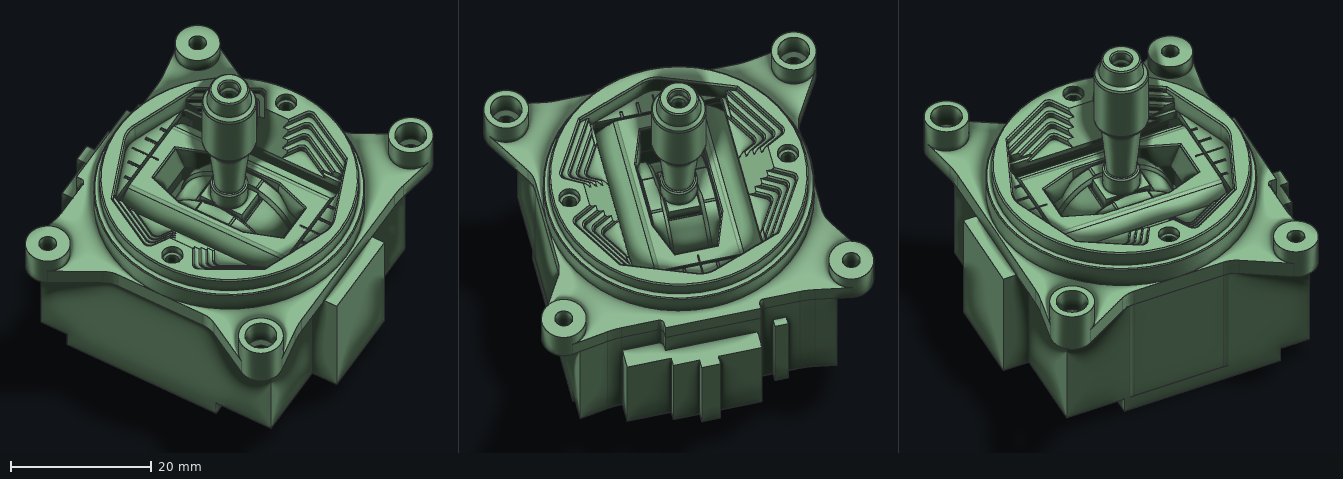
import cadquery as cq
import math

QUADRANTS = ((1, 1), (-1, 1), (-1, -1), (1, -1))

FOOT_TOP = 2.4
CONNECTOR_TOP = 16.9
HOUSING_TOP = 20.4
PLATE_TOP = 23.0
BEZEL_SEAT = 24.0
BEZEL_FLOOR = 25.3
RING_TOP = 26.2
BEZEL_TOP = 28.5
STICK_TOP = 49.2
AXIS_Z = 15.2

BOSS_X = 17.6
BOSS_Y = 21.05
BOSS_D = 6.4
BOSS_HOLE_D = 2.5
LOW_BOSS_TOP = 25.3
HIGH_BOSS_TOP = 26.8
HIGH_BOSS_BORE_D = 4.5
RING_D = 38.6
RING_CHAMFER = 0.15
PLATE_HALF_X = 19.63
PLATE_HALF_Y = RING_D / 2
END_FLARE = 30
SIDE_FLARE = 10
END_BLEND_R = 4.3
SIDE_BLEND_R = 12.2
BULGE_X = -21.1
BULGE_HALF_Y = 7.0
BULGE_FILLET = 0.7

HOUSING_BACK = 19.35
HOUSING_FRONT = -18.3
HOUSING_RIGHT = 17.65
FOOT_LEFT = -16.0
FOOT_RIGHT = 8.6
SIDE_BLOCK_X = 21.7
SIDE_BLOCK_HALF_Y = 6.7
CONNECTOR_STEPS = [
    (-22.55, 6.5, 12.95),
    (-23.8, -6.5, 6.5),
    (-25.1, -0.1, 2.65),
    (-20.8, -11.05, -9.1),
]
CAVITY_X = 26.6
CAVITY_Y = 25.0

BEZEL_D = 36.9
BEZEL_CHAMFER = 0.2
POCKET_CUT_TOP = BEZEL_TOP + 1
WINDOW_X = 26.7
WINDOW_Y = 19.0
WINDOW_FILLET = 0.6
SIDE_POCKET_HALF_Y = 10.0
SIDE_POCKET_START_X = 9.0
POCKET_TIP_X = 16.95
POCKET_TIP_FILLET = 4.0
POCKET_SIDE_LEAN = 0.39
POCKET_HALF_Y = 17.0
STEP_COUNT = 4
RAMP_FOOT = 24.75
STEP_DROP = (BEZEL_TOP - RAMP_FOOT) / STEP_COUNT
STEP_PITCH = 0.95
STEP_FILLET = 1.0
STEP_ARM_LENGTH = 12.0
POCKET_CHAMFER = 0.25
FIRST_STEP_CORNER = (3.85, 16.45)
STEP_ARM_ANGLE = 30
RAMP_TOP_Y = 13.5
RAMP_HALF_X = 5.0
SCREW_Y = 16.0
SCREW_HEAD_D = 3.0
SCREW_HEAD_DEPTH = 1.3
SCREW_HOLE_D = 2.0
MARK_DEPTH = 0.2
MARK_START_X = 13.0
MARK_WIDTH = 0.35
CENTRE_MARK_WIDTH = 0.15
CENTRE_MARK_END = 16.0
MARK_ENDS = {2.45: 15.25, 5.05: 14.3}

OUTER_HALF_X = 12.95
OUTER_TOP = BEZEL_FLOOR
OUTER_FLAT_HALF_Y = 5.9
OUTER_EDGE_HALF_Y = 6.5
OUTER_EDGE_DROP = 0.15
OUTER_CAVITY_X = 22.0
OUTER_CAVITY_HALF_Y = 5.5
OUTER_CAVITY_TOP = 21.5
OPENING_HALF_X = 10.9
OPENING_END_HALF_Y = 3.2
OPENING_HALF_Y = 5.2
OPENING_FLAT_HALF_X = 5.3
OPENING_BOTTOM_HALF_X = 9.3
OPENING_DRAFT = 4
OPENING_CHAMFER = 0.2
OUTER_MARK_START = 11.7

INNER_HALF_Y = 4.75
INNER_R = 9.8
CHANNEL_R = 9.4
CHANNEL_CUT_R = 10.8
CHANNEL_HALF_Y = 2.5
CHANNEL_EDGE_HALF_Y = 3.0
PAD_HALF_X = 2.9
PAD_TOP = 24.85
PAD_CHAMFER = 0.25
SOCKET_HALF_X = 3.75
SOCKET_FLOOR = 22.5
SOCKET_MOUTH_HALF_X = 4.1
SOCKET_BEVEL_BOTTOM = 23.4
SOCKET_BEVEL_TOP = 23.6

BASE_HALF_X = 3.45
BASE_HALF_Y = 2.3
BASE_TOP = PAD_TOP
COLLAR_D = 5.3
COLLAR_TOP = 27.8
COLLAR_CHAMFER = 0.25
SHANK_BOTTOM_D = 4.3
SHANK_TOP_D = 6.0
GRIP_D = 7.8
GRIP_BOTTOM = 37.6
GRIP_END = 46.0
GRIP_EDGE_INSET = 0.15
GRIP_EDGE_RISE = 0.35
SHOULDER_RISE = 0.35
NECK_D = 6.4
TIP_D = 5.6
TIP_CHAMFER = 0.2
TIP_BORE_D = 2.9
TIP_BORE_DEPTH = 1.5
TIP_HOLE_D = 2.2
TIP_HOLE_DEPTH = 5.0


def slab(x0, x1, y0, y1, z0, z1):
    """Box between two corners."""
    return cq.Workplane("XY").box(x1 - x0, y1 - y0, z1 - z0, centered=False).translate((x0, y0, z0))


def disc(diameter, z0, z1, x=0, y=0):
    """Upright cylinder between two levels."""
    return cq.Workplane("XY", origin=(x, y, z0)).circle(diameter / 2).extrude(z1 - z0)


def flared_outline(z0, z1):
    """Plate body whose four arms run tangent to the corner bosses."""
    radius = BOSS_D / 2
    end = math.radians(END_FLARE)
    side = math.radians(SIDE_FLARE)
    end_tangent = (BOSS_X - radius * math.sin(end), BOSS_Y + radius * math.cos(end))
    side_tangent = (BOSS_X + radius * math.cos(side), BOSS_Y - radius * math.sin(side))
    end_knee = (end_tangent[0] - (end_tangent[1] - PLATE_HALF_Y) / math.tan(end), PLATE_HALF_Y)
    side_knee = (PLATE_HALF_X, side_tangent[1] - (side_tangent[0] - PLATE_HALF_X) / math.tan(side))
    quarter = [side_knee, side_tangent, (BOSS_X, BOSS_Y), end_tangent, end_knee]
    points = []
    for sx, sy in QUADRANTS:
        corner = [(sx * x, sy * y) for x, y in quarter]
        points += corner if sx * sy > 0 else corner[::-1]
    body = cq.Workplane("XY", origin=(0, 0, z0)).polyline(points).close().extrude(z1 - z0)
    for (x, y), blend in ((end_knee, END_BLEND_R), (side_knee, SIDE_BLEND_R)):
        for sx, sy in QUADRANTS:
            knee = (sx * x, sy * y, (z0 + z1) / 2)
            body = body.edges(cq.selectors.NearestToPointSelector(knee)).fillet(blend)
    bulge = slab(BULGE_X, 0, -BULGE_HALF_Y, BULGE_HALF_Y, z0, z1)
    body = body.union(bulge)
    for sy in (1, -1):
        corner = (-PLATE_HALF_X, sy * BULGE_HALF_Y, (z0 + z1) / 2)
        body = body.edges(cq.selectors.NearestToPointSelector(corner)).fillet(BULGE_FILLET)
    return body


def make_housing():
    block = flared_outline(FOOT_TOP, HOUSING_TOP).intersect(
        slab(BULGE_X, HOUSING_RIGHT, HOUSING_FRONT, HOUSING_BACK, FOOT_TOP, HOUSING_TOP)
    )
    foot = slab(FOOT_LEFT, FOOT_RIGHT, HOUSING_FRONT, HOUSING_BACK, 0, FOOT_TOP)
    side_block = slab(0, SIDE_BLOCK_X, -SIDE_BLOCK_HALF_Y, SIDE_BLOCK_HALF_Y, FOOT_TOP, HOUSING_TOP)
    block = block.union(foot).union(side_block)
    for outer_x, front, back in CONNECTOR_STEPS:
        block = block.union(slab(outer_x, FOOT_LEFT, front, back, FOOT_TOP, CONNECTOR_TOP))
    return block.cut(gimbal_cavity())


def gimbal_cavity():
    """Rectangular room for the gimbals, open upward."""
    return slab(-CAVITY_X / 2, CAVITY_X / 2, -CAVITY_Y / 2, CAVITY_Y / 2, AXIS_Z, RING_TOP)


def make_cover():
    cover = flared_outline(HOUSING_TOP, PLATE_TOP)
    ring = disc(RING_D, HOUSING_TOP, RING_TOP).faces(">Z").chamfer(RING_CHAMFER)
    cover = cover.union(ring)
    for sx, top in ((-1, LOW_BOSS_TOP), (1, HIGH_BOSS_TOP)):
        for sy in (-1, 1):
            cover = cover.union(disc(BOSS_D, HOUSING_TOP, top, sx * BOSS_X, sy * BOSS_Y))
    for sy in (-1, 1):
        for sx in (-1, 1):
            cover = cover.cut(disc(BOSS_HOLE_D, HOUSING_TOP, HIGH_BOSS_TOP, sx * BOSS_X, sy * BOSS_Y))
        cover = cover.cut(disc(HIGH_BOSS_BORE_D, PLATE_TOP, HIGH_BOSS_TOP, BOSS_X, sy * BOSS_Y))
    return cover.cut(gimbal_cavity()).cut(disc(BEZEL_D, BEZEL_SEAT, RING_TOP))


def pocket_limit():
    """Tall solid that bounds every bezel pocket, pointed toward +X and -X."""
    end = POCKET_TIP_X - POCKET_SIDE_LEAN * POCKET_HALF_Y
    points = [(POCKET_TIP_X, 0), (end, POCKET_HALF_Y), (-end, POCKET_HALF_Y)]
    points += [(-x, -y) for x, y in points]

    def prism(grow, bottom):
        """Outline moved outward, extruded up past the bezel top."""
        stretch = 1 + grow / POCKET_TIP_X
        outline = cq.Workplane("XY", origin=(0, 0, bottom))
        outline = outline.polyline([(x * stretch, y * stretch) for x, y in points])
        body = outline.close().extrude(POCKET_CUT_TOP - bottom)
        return body.edges("|Z and (>X or <X)").fillet(POCKET_TIP_FILLET)

    flare = prism(POCKET_CHAMFER, BEZEL_TOP - POCKET_CHAMFER).faces("<Z").chamfer(POCKET_CHAMFER)
    return prism(0, BEZEL_SEAT).union(flare)


def step_cutter(index):
    """Right-angled terrace cutter for the +X +Y quarter; each index lies one step lower and inward."""
    angle = math.radians(STEP_ARM_ANGLE)
    arm = cq.Vector(math.cos(angle), -math.sin(angle))
    leg = cq.Vector(-math.sin(angle), -math.cos(angle))
    corner = cq.Vector(*FIRST_STEP_CORNER) + (arm + leg) * (STEP_PITCH * index)
    floor = BEZEL_TOP - STEP_DROP * (index + 1)
    rim = floor + STEP_DROP

    def wedge(grow, bottom):
        """Wedge up past the bezel top, its two walls moved outward."""
        apex = corner - (arm + leg) * grow
        leg_length = (apex.y - SIDE_POCKET_HALF_Y + STEP_FILLET) / math.cos(angle)
        arm_end = apex + arm * STEP_ARM_LENGTH
        corners = (apex, arm_end, arm_end + leg * leg_length, apex + leg * leg_length)
        outline = cq.Workplane("XY", origin=(0, 0, bottom)).polyline([(p.x, p.y) for p in corners])
        body = outline.close().extrude(POCKET_CUT_TOP - bottom)
        return body.edges(cq.selectors.NearestToPointSelector((apex.x, apex.y, rim))).fillet(STEP_FILLET)

    flare = wedge(POCKET_CHAMFER, rim - POCKET_CHAMFER).faces("<Z").chamfer(POCKET_CHAMFER)
    return wedge(0, floor).union(flare)


def ramp_cutter():
    """Wedge above the slope that falls from the rim to the back edge of the window."""
    profile = [(RAMP_TOP_Y, BEZEL_TOP), (WINDOW_Y / 2, RAMP_FOOT), (0, RAMP_FOOT), (0, BEZEL_TOP)]
    return cq.Workplane("YZ").polyline(profile).close().extrude(RAMP_HALF_X, both=True)


def make_bezel():
    bezel = disc(BEZEL_D, BEZEL_SEAT, BEZEL_TOP).faces(">Z").chamfer(BEZEL_CHAMFER)
    terraces = step_cutter(0)
    for index in range(1, STEP_COUNT):
        terraces = terraces.union(step_cutter(index))
    side = slab(
        SIDE_POCKET_START_X, BEZEL_D, -SIDE_POCKET_HALF_Y, SIDE_POCKET_HALF_Y, BEZEL_FLOOR, POCKET_CUT_TOP
    )
    beyond_window = slab(-BEZEL_D, BEZEL_D, WINDOW_Y / 2, BEZEL_D, BEZEL_SEAT, POCKET_CUT_TOP)
    terraces = terraces.intersect(beyond_window)
    right = terraces.union(terraces.mirror("XZ")).union(side).intersect(pocket_limit())
    bezel = bezel.cut(right).cut(right.mirror("YZ"))
    ramp = ramp_cutter()
    bezel = bezel.cut(ramp).cut(ramp.mirror("XZ"))
    window = slab(-WINDOW_X / 2, WINDOW_X / 2, -WINDOW_Y / 2, WINDOW_Y / 2, BEZEL_SEAT, BEZEL_TOP)
    bezel = bezel.cut(window.edges("|Z").fillet(WINDOW_FILLET))
    for sy in (-1, 1):
        bezel = bezel.cut(disc(SCREW_HEAD_D, BEZEL_TOP - SCREW_HEAD_DEPTH, BEZEL_TOP, 0, sy * SCREW_Y))
        bezel = bezel.cut(disc(SCREW_HOLE_D, BEZEL_SEAT, BEZEL_TOP, 0, sy * SCREW_Y))
    return bezel.cut(scale_marks())


def mark(x0, x1, y, width):
    """Pair of engraving cutters, one on each side of the YZ plane."""
    right = slab(x0, x1, y - width / 2, y + width / 2, BEZEL_FLOOR - MARK_DEPTH, BEZEL_FLOOR)
    return right.union(right.mirror("YZ"))


def scale_marks():
    marks = mark(MARK_START_X, CENTRE_MARK_END, 0, CENTRE_MARK_WIDTH)
    for y, end in MARK_ENDS.items():
        for sy in (-1, 1):
            marks = marks.union(mark(MARK_START_X, end, sy * y, MARK_WIDTH))
    return marks


def opening_cutter():
    """Eight-sided opening with steep long walls, sloping end walls and a chamfered rim."""
    quarter = [(OPENING_HALF_X, OPENING_END_HALF_Y), (OPENING_FLAT_HALF_X, OPENING_HALF_Y)]
    half = quarter + [(-x, y) for x, y in quarter[::-1]]
    outline = half + [(-x, -y) for x, y in half]
    top = cq.Workplane("XY", origin=(0, 0, OUTER_TOP))
    rim = top.polyline(outline).close().extrude(-OPENING_CHAMFER, taper=45)
    walls = rim.faces("<Z").wires().toPending().workplane()
    wall_height = OUTER_TOP - OPENING_CHAMFER - OUTER_CAVITY_TOP
    walls = walls.extrude(wall_height, taper=OPENING_DRAFT, combine=False)
    ends = (
        cq.Workplane("XZ")
        .moveTo(-OPENING_HALF_X + OPENING_CHAMFER, OUTER_TOP)
        .lineTo(OPENING_HALF_X - OPENING_CHAMFER, OUTER_TOP)
        .lineTo(OPENING_BOTTOM_HALF_X, OUTER_CAVITY_TOP)
        .lineTo(-OPENING_BOTTOM_HALF_X, OUTER_CAVITY_TOP)
        .close()
        .extrude(OPENING_HALF_Y, both=True)
    )
    return walls.intersect(ends).union(rim)


def make_outer_gimbal():
    shoulder = OUTER_TOP - OUTER_EDGE_DROP
    radius = math.hypot(OUTER_EDGE_HALF_Y, shoulder - AXIS_Z)
    mid = radius * math.sqrt(0.5)
    body = (
        cq.Workplane("YZ")
        .moveTo(-radius, AXIS_Z)
        .threePointArc((-mid, AXIS_Z + mid), (-OUTER_EDGE_HALF_Y, shoulder))
        .lineTo(-OUTER_FLAT_HALF_Y, OUTER_TOP)
        .lineTo(OUTER_FLAT_HALF_Y, OUTER_TOP)
        .lineTo(OUTER_EDGE_HALF_Y, shoulder)
        .threePointArc((mid, AXIS_Z + mid), (radius, AXIS_Z))
        .close()
        .extrude(OUTER_HALF_X, both=True)
    )
    body = body.cut(
        slab(
            -OUTER_CAVITY_X / 2, OUTER_CAVITY_X / 2, -OUTER_CAVITY_HALF_Y, OUTER_CAVITY_HALF_Y,
            AXIS_Z, OUTER_CAVITY_TOP,
        )
    )
    body = body.cut(half_drum(OUTER_CAVITY_HALF_Y))
    body = body.cut(opening_cutter())
    return body.cut(mark(OUTER_MARK_START, OUTER_HALF_X, 0, CENTRE_MARK_WIDTH))


def half_drum(half_length):
    """Upper half of a drum about the Y direction, flat side down on the axis level."""
    drum = cq.Workplane("XZ", origin=(0, half_length, AXIS_Z)).circle(INNER_R).extrude(2 * half_length)
    return drum.intersect(slab(-INNER_R, INNER_R, -half_length, half_length, AXIS_Z, OUTER_TOP))


def make_inner_gimbal():
    channel_profile = [
        (CHANNEL_R, -CHANNEL_HALF_Y),
        (INNER_R, -CHANNEL_EDGE_HALF_Y),
        (CHANNEL_CUT_R, -CHANNEL_EDGE_HALF_Y),
        (CHANNEL_CUT_R, CHANNEL_EDGE_HALF_Y),
        (INNER_R, CHANNEL_EDGE_HALF_Y),
        (CHANNEL_R, CHANNEL_HALF_Y),
    ]
    channel = cq.Workplane("XY").polyline(channel_profile).close().revolve(360, (0, 0, 0), (0, 1, 0))
    pad = slab(-PAD_HALF_X, PAD_HALF_X, -INNER_HALF_Y, INNER_HALF_Y, AXIS_Z, PAD_TOP)
    pad = pad.edges(">Z and |Y").chamfer(PAD_CHAMFER)
    room_above = slab(-PAD_HALF_X, PAD_HALF_X, -INNER_HALF_Y, INNER_HALF_Y, AXIS_Z, OUTER_TOP)
    drum = half_drum(INNER_HALF_Y).cut(room_above).union(pad)
    return drum.cut(channel.translate((0, 0, AXIS_Z))).cut(stick_socket())


def stick_socket():
    """Pit for the stick base, with bevelled ends that open into the channel."""
    half = [
        (SOCKET_HALF_X, SOCKET_FLOOR),
        (SOCKET_HALF_X, SOCKET_BEVEL_BOTTOM),
        (SOCKET_MOUTH_HALF_X, SOCKET_BEVEL_TOP),
        (SOCKET_MOUTH_HALF_X, PAD_TOP),
    ]
    outline = half + [(-x, z) for x, z in half[::-1]]
    return cq.Workplane("XZ").polyline(outline).close().extrude(CHANNEL_HALF_Y, both=True)


def make_stick_base():
    base = slab(-BASE_HALF_X, BASE_HALF_X, -BASE_HALF_Y, BASE_HALF_Y, SOCKET_FLOOR, BASE_TOP)
    return base.union(disc(COLLAR_D, BASE_TOP, COLLAR_TOP).faces(">Z").chamfer(COLLAR_CHAMFER))


def make_stick():
    grip_r = GRIP_D / 2
    stick = (
        cq.Workplane("XZ")
        .moveTo(0, COLLAR_TOP)
        .lineTo(SHANK_BOTTOM_D / 2, COLLAR_TOP)
        .lineTo(SHANK_TOP_D / 2, GRIP_BOTTOM - GRIP_EDGE_RISE - SHOULDER_RISE)
        .lineTo(grip_r - GRIP_EDGE_INSET, GRIP_BOTTOM - GRIP_EDGE_RISE)
        .lineTo(grip_r, GRIP_BOTTOM)
        .lineTo(grip_r, GRIP_END)
        .lineTo(grip_r - GRIP_EDGE_INSET, GRIP_END + GRIP_EDGE_RISE)
        .lineTo(NECK_D / 2, GRIP_END + GRIP_EDGE_RISE + SHOULDER_RISE)
        .lineTo(TIP_D / 2, STICK_TOP - TIP_CHAMFER)
        .lineTo(TIP_D / 2 - TIP_CHAMFER, STICK_TOP)
        .lineTo(0, STICK_TOP)
        .close()
        .revolve(360, (0, 0, 0), (0, 1, 0))
    )
    bore_end = STICK_TOP - TIP_BORE_DEPTH
    bore_profile = [
        (0, STICK_TOP),
        (TIP_BORE_D / 2 + TIP_CHAMFER, STICK_TOP),
        (TIP_BORE_D / 2, STICK_TOP - TIP_CHAMFER),
        (TIP_BORE_D / 2, bore_end),
        (TIP_HOLE_D / 2, bore_end - (TIP_BORE_D - TIP_HOLE_D) / 2),
        (TIP_HOLE_D / 2, STICK_TOP - TIP_HOLE_DEPTH),
        (0, STICK_TOP - TIP_HOLE_DEPTH),
    ]
    return stick.cut(cq.Workplane("XZ").polyline(bore_profile).close().revolve(360, (0, 0, 0), (0, 1, 0)))


bodies = [
    make_housing(),
    make_cover(),
    make_bezel(),
    make_outer_gimbal(),
    make_inner_gimbal(),
    make_stick_base(),
    make_stick(),
]
result = cq.Compound.makeCompound([body.val() for body in bodies])